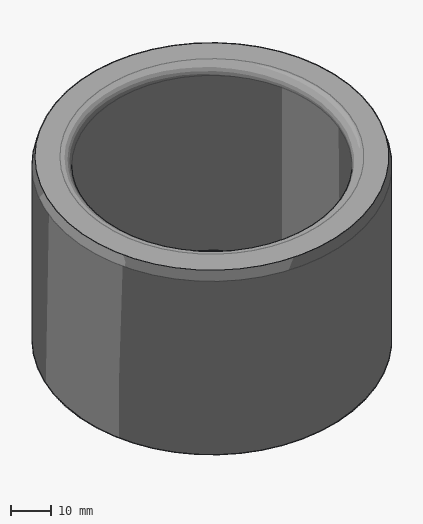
import cadquery as cq
import math

outer_diameter = 90.0
bore_diameter = 70.0
height = 60.0

lead_in_height = 3.0
lead_in_angle = 15.0
lead_in_depth = lead_in_height * math.tan(math.radians(lead_in_angle))

bore_mouth_radius = 3.0
bottom_edge_chamfer = 0.5

outer_radius = outer_diameter / 2
bore_radius = bore_diameter / 2

wall_section = (
    cq.Workplane("XZ")
    .moveTo(bore_radius, 0)
    .lineTo(outer_radius - bottom_edge_chamfer, 0)
    .lineTo(outer_radius, bottom_edge_chamfer)
    .lineTo(outer_radius, height - lead_in_height)
    .lineTo(outer_radius - lead_in_depth, height)
    .lineTo(bore_radius + bore_mouth_radius, height)
    .radiusArc((bore_radius, height - bore_mouth_radius), -bore_mouth_radius)
    .close()
)

result = wall_section.revolve(360, (0, 0, 0), (0, 1, 0))